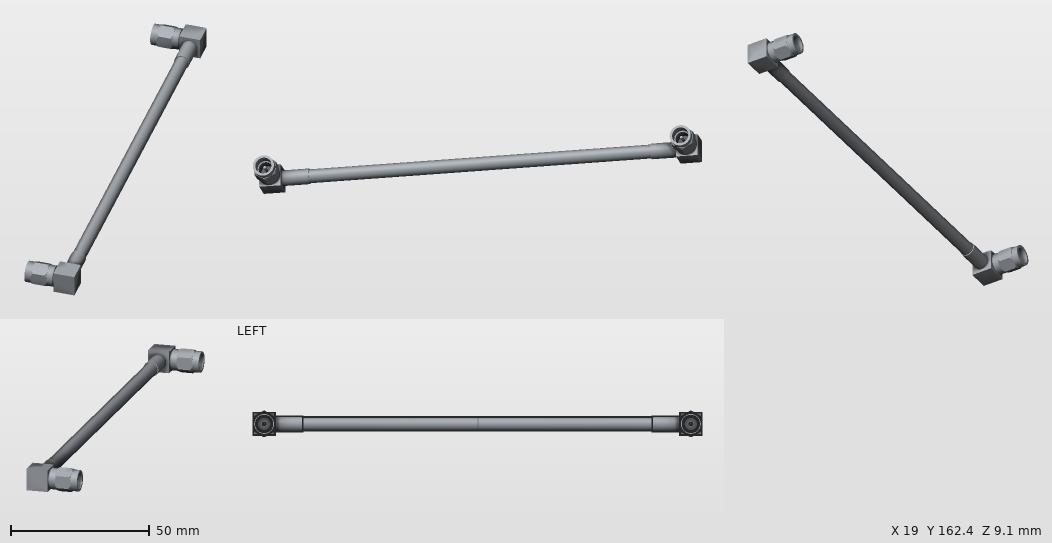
import cadquery as cq

overall_length = 162.4

block_side = 8.0
block_height = 8.1

ferrule_diameter = 5.7
ferrule_length = 9.9

cable_diameter = 5.0

plug_reach = 19.0
nut_diameter = 7.8
nut_length = 10.5
hex_corner_diameter = 9.1
hex_length = 5.8
hex_setback = 2.5
hex_bevel_depth = 0.5
hex_bevel_length = 0.8

neck_diameter = 6.5

mouth_diameter = 6.0
mouth_depth = 3.5
socket_diameter = 5.0
socket_depth = 8.1
contact_diameter = 1.0
contact_setback = 2.0

block_centre_y = (overall_length - block_side) / 2
ferrule_end_y = overall_length / 2 - block_side - ferrule_length
block_front_x = -block_side / 2
mouth_x = block_side / 2 - plug_reach
nut_back_x = mouth_x + nut_length


def rod_along_x(start_x, end_x, diameter):
    """Cylinder on the X axis between start_x and end_x."""
    return cq.Workplane("YZ", origin=(start_x, 0, 0)).circle(diameter / 2).extrude(end_x - start_x)


def make_hexagon():
    """Wrench hexagon, corners up and down, its corners bevelled at both ends."""
    start_x = mouth_x + hex_setback
    end_x = start_x + hex_length
    prism = (
        cq.Workplane("YZ", origin=(start_x, 0, 0))
        .transformed(rotate=(0, 0, 90))
        .polygon(6, hex_corner_diameter)
        .extrude(hex_length)
    )
    corner_radius = hex_corner_diameter / 2
    end_radius = corner_radius - hex_bevel_depth
    bevel_envelope = (
        cq.Workplane("XY")
        .moveTo(start_x, 0)
        .lineTo(start_x, end_radius)
        .lineTo(start_x + hex_bevel_length, corner_radius)
        .lineTo(end_x - hex_bevel_length, corner_radius)
        .lineTo(end_x, end_radius)
        .lineTo(end_x, 0)
        .close()
        .revolve(360, (0, 0, 0), (1, 0, 0))
    )
    return prism.intersect(bevel_envelope)


def make_plug():
    """Coupling nut on its neck, with a stepped socket and a centre contact."""
    nut = rod_along_x(mouth_x, nut_back_x, nut_diameter).union(make_hexagon())
    socket_floor_x = mouth_x + socket_depth
    mouth = rod_along_x(mouth_x, mouth_x + mouth_depth, mouth_diameter)
    socket = rod_along_x(mouth_x, socket_floor_x, socket_diameter)
    contact = rod_along_x(mouth_x + contact_setback, socket_floor_x, contact_diameter)
    neck = rod_along_x(nut_back_x, block_front_x, neck_diameter)
    return nut.cut(mouth).cut(socket).union(contact).union(neck)


def make_connector(side):
    """Right-angle connector at the +Y end (side = 1) or the -Y end (side = -1)."""
    block = cq.Workplane("XY").box(block_side, block_side, block_height)
    ferrule = (
        cq.Workplane("XZ", origin=(0, -block_side / 2, 0))
        .circle(ferrule_diameter / 2)
        .extrude(ferrule_length)
    )
    connector = block.union(ferrule).union(make_plug())
    if side < 0:
        connector = connector.mirror("XZ")
    return connector.translate((0, side * block_centre_y, 0))


def make_cable():
    """Plain round cable between the two ferrule ends."""
    return cq.Workplane("XZ").circle(cable_diameter / 2).extrude(ferrule_end_y, both=True)


cable = make_cable()
connectors = [make_connector(side) for side in (-1, 1)]

result = cq.Compound.makeCompound(
    [cable.solids().val(), *[connector.solids().val() for connector in connectors]]
)